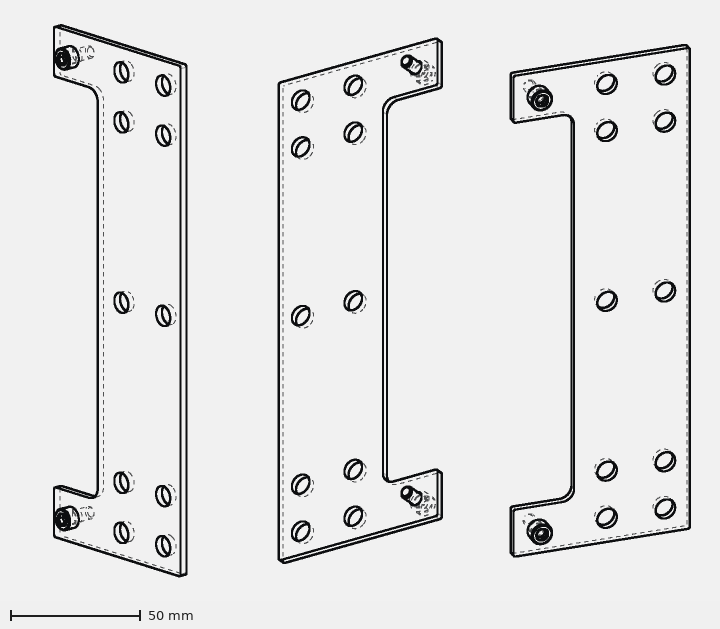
import cadquery as cq
import math

PLATE_WIDTH = 72.5
PLATE_HEIGHT = 205.0
PLATE_THICKNESS = 3.0
CORNER_RADIUS = 1.0
ARM_LENGTH = 25.0
ARM_HEIGHT = 20.0
NOTCH_RADIUS = 5.0

MOUNT_HOLE_DIAMETER = 8.0
SCREW_HOLE_DIAMETER = 5.5
EDGE_DISTANCE = 10.0
COLUMN_SPACING = 24.0
ROW_SPACING = 20.0

HEAD_DIAMETER = 8.5
HEAD_HEIGHT = 5.0
HEAD_CHAMFER = 0.5
SHANK_DIAMETER = 5.0
SHANK_LENGTH = 10.0
SHANK_CHAMFER = 0.6
SOCKET_WIDTH = 4.0
SOCKET_DEPTH = 2.5
SOCKET_MOUTH_DIAMETER = 5.0
SOCKET_MOUTH_DEPTH = 0.5
SOCKET_POINT_DEPTH = 1.2

LEFT = -PLATE_WIDTH / 2
RIGHT = PLATE_WIDTH / 2
TOP = PLATE_HEIGHT / 2

OUTER_COLUMN_X = RIGHT - EDGE_DISTANCE
MOUNT_COLUMNS = [OUTER_COLUMN_X - COLUMN_SPACING, OUTER_COLUMN_X]
OUTER_ROW_Z = TOP - EDGE_DISTANCE
INNER_ROW_Z = OUTER_ROW_Z - ROW_SPACING
MOUNT_ROWS = [-OUTER_ROW_Z, -INNER_ROW_Z, 0, INNER_ROW_Z, OUTER_ROW_Z]
MOUNT_POINTS = [(x, z) for x in MOUNT_COLUMNS for z in MOUNT_ROWS]

SCREW_X = LEFT + EDGE_DISTANCE
SCREW_POINTS = [(SCREW_X, -OUTER_ROW_Z), (SCREW_X, OUTER_ROW_Z)]


def front_plane(y=0.0):
    """Workplane facing -Y at the given Y, with local axes along X and Z."""
    return cq.Workplane("XZ", origin=(0, y, 0))


def make_plate():
    """C-shaped plate with rounded corners and its two sets of holes."""
    notch_x = LEFT + ARM_LENGTH
    notch_z = TOP - ARM_HEIGHT
    blank = (
        front_plane()
        .polyline([
            (LEFT, TOP),
            (RIGHT, TOP),
            (RIGHT, -TOP),
            (LEFT, -TOP),
            (LEFT, -notch_z),
            (notch_x, -notch_z),
            (notch_x, notch_z),
            (LEFT, notch_z),
        ])
        .close()
        .extrude(-PLATE_THICKNESS)
    )
    rounded = blank.edges("|Y").edges("<X or >X").fillet(CORNER_RADIUS)
    notch_corners = cq.selectors.BoxSelector(
        (notch_x - CORNER_RADIUS, -PLATE_THICKNESS, -TOP),
        (notch_x + CORNER_RADIUS, 2 * PLATE_THICKNESS, TOP),
    )
    rounded = rounded.edges("|Y").edges(notch_corners).fillet(NOTCH_RADIUS)

    mount_holes = (
        front_plane()
        .pushPoints(MOUNT_POINTS)
        .circle(MOUNT_HOLE_DIAMETER / 2)
        .extrude(-PLATE_THICKNESS)
    )
    screw_holes = (
        front_plane()
        .pushPoints(SCREW_POINTS)
        .circle(SCREW_HOLE_DIAMETER / 2)
        .extrude(-PLATE_THICKNESS)
    )
    return rounded.cut(mount_holes).cut(screw_holes)


def make_socket():
    """Hexagonal socket volume with a countersunk mouth and a conical bottom."""
    corner_diameter = SOCKET_WIDTH / math.cos(math.pi / 6)
    hexagon = front_plane(-HEAD_HEIGHT).polygon(6, corner_diameter).extrude(-SOCKET_DEPTH)
    inward = cq.Vector(0, 1, 0)
    mouth = cq.Solid.makeCone(
        SOCKET_MOUTH_DIAMETER / 2,
        SOCKET_WIDTH / 2,
        SOCKET_MOUTH_DEPTH,
        cq.Vector(0, -HEAD_HEIGHT, 0),
        inward,
    )
    point = cq.Solid.makeCone(
        SOCKET_WIDTH / 2,
        0,
        SOCKET_POINT_DEPTH,
        cq.Vector(0, SOCKET_DEPTH - HEAD_HEIGHT, 0),
        inward,
    )
    return hexagon.union(mouth).union(point)


def make_screw(x, z):
    """Hexagon socket screw along Y, with the underside of its head at Y = 0."""
    head = (
        front_plane()
        .circle(HEAD_DIAMETER / 2)
        .extrude(HEAD_HEIGHT)
        .edges("<Y")
        .chamfer(HEAD_CHAMFER)
    )
    shank = (
        front_plane()
        .circle(SHANK_DIAMETER / 2)
        .extrude(-SHANK_LENGTH)
        .edges(">Y")
        .chamfer(SHANK_CHAMFER)
    )
    return head.union(shank).cut(make_socket()).translate((x, 0, z))


plate = make_plate()
screws = [make_screw(x, z) for x, z in SCREW_POINTS]

result = cq.Compound.makeCompound([plate.val(), *[screw.val() for screw in screws]])